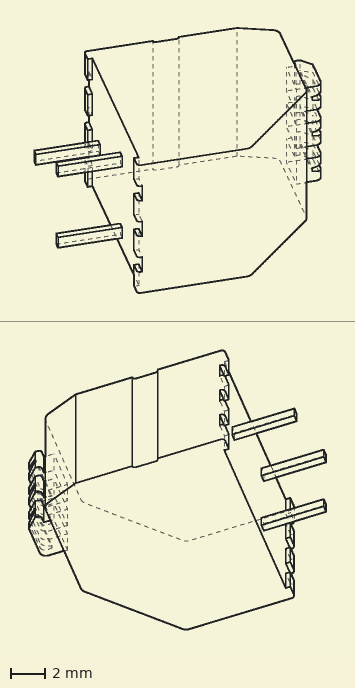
import cadquery as cq
import math


pole_count = 3
pole_pitch = 2.54
foot_thickness = 1.5
housing_height = pole_count * pole_pitch + foot_thickness

total_length = 16.7
underside_y = 3.87
foot_height = 0.28
foot_end_y = underside_y - foot_height
button_projection = 1.59
housing_top_y = total_length - button_projection

housing_width = 12.0
left_slope_run = 0.87
left_slope_drop = 2.29
right_chamfer = 4.73
top_left_radius = 0.5
right_chamfer_radius = 0.5
foot_width = 0.8
foot_radius = 0.2

groove_depth = 0.15
groove_bottom_y = 7.73
groove_top_y = 9.3

button_thickness = 1.67
button_z = 0.85
button_left = 2.02
button_right = 4.83
stem_left = 2.52
hook_bottom_y = 15.71
hook_chamfer = 0.62
hook_radius = 0.18
button_corner_radius = 0.4
notch_mouth = 0.52
notch_floor = 0.22

pin_width = 0.42
pin_thickness = 0.75
pin_z = 0.85
outer_pin_x = 7.08
middle_pin_x = 2.1

ARC_MIDPOINT = math.sqrt(0.5)


def make_housing():
    """Main body, flat on its underside, with the groove in its left wall."""
    groove_arc_offset = groove_depth * ARC_MIDPOINT
    body = (
        cq.Workplane("XY")
        .moveTo(0, underside_y)
        .lineTo(housing_width, underside_y)
        .lineTo(housing_width, housing_top_y - right_chamfer)
        .lineTo(housing_width - right_chamfer, housing_top_y)
        .lineTo(left_slope_run, housing_top_y)
        .lineTo(0, housing_top_y - left_slope_drop)
        .lineTo(0, groove_top_y)
        .threePointArc(
            (groove_arc_offset, groove_top_y - groove_depth + groove_arc_offset),
            (groove_depth, groove_top_y - groove_depth),
        )
        .lineTo(groove_depth, groove_bottom_y + groove_depth)
        .threePointArc(
            (groove_arc_offset, groove_bottom_y + groove_depth - groove_arc_offset),
            (0, groove_bottom_y),
        )
        .close()
        .extrude(housing_height)
    )
    top_left_edge = cq.selectors.NearestToPointSelector(
        (left_slope_run, housing_top_y, housing_height / 2)
    )
    chamfer_top_edge = cq.selectors.NearestToPointSelector(
        (housing_width - right_chamfer, housing_top_y, housing_height / 2)
    )
    chamfer_side_edge = cq.selectors.NearestToPointSelector(
        (housing_width, housing_top_y - right_chamfer, housing_height / 2)
    )
    body = body.edges(top_left_edge).fillet(top_left_radius)
    body = body.edges(chamfer_top_edge).fillet(right_chamfer_radius)
    return body.edges(chamfer_side_edge).fillet(right_chamfer_radius)


def make_foot_pair(z):
    """Standoff feet under both side walls, rounded on their outer corners."""
    left_foot = (
        cq.Workplane("XY")
        .box(foot_width, foot_height, foot_thickness, centered=False)
        .edges("|Z and <X and <Y")
        .fillet(foot_radius)
        .translate((0, foot_end_y, z))
    )
    right_foot = left_foot.mirror("YZ").translate((housing_width, 0, 0))
    return left_foot.union(right_foot)


def make_button(z):
    """Hooked push button with a tapered notch across its top."""
    button = (
        cq.Workplane("XY")
        .moveTo(stem_left, housing_top_y)
        .lineTo(button_right, housing_top_y)
        .lineTo(button_right, total_length)
        .lineTo(button_left + hook_chamfer, total_length)
        .lineTo(button_left, total_length - hook_chamfer)
        .lineTo(button_left, hook_bottom_y)
        .lineTo(stem_left, hook_bottom_y)
        .close()
        .extrude(button_thickness)
        .translate((0, 0, z))
    )
    button = button.edges("|Z and >X and >Y").fillet(button_corner_radius)
    hook_edge = cq.selectors.NearestToPointSelector(
        (button_left, hook_bottom_y, z + button_thickness / 2)
    )
    button = button.edges(hook_edge).fillet(hook_radius)

    center_z = z + button_thickness / 2
    notch_floor_y = total_length - hook_chamfer
    notch = (
        cq.Workplane("YZ", origin=(button_left, 0, 0))
        .moveTo(total_length, center_z - notch_mouth / 2)
        .lineTo(notch_floor_y, center_z - notch_floor / 2)
        .lineTo(notch_floor_y, center_z + notch_floor / 2)
        .lineTo(total_length, center_z + notch_mouth / 2)
        .close()
        .extrude(button_right - button_left)
    )
    return button.cut(notch)


def make_pin(left_x, z):
    """Rectangular solder pin reaching down from the housing underside."""
    return (
        cq.Workplane("XY")
        .box(pin_width, underside_y, pin_thickness, centered=False)
        .translate((left_x, 0, z))
    )


result = make_housing()

for level in range(pole_count + 1):
    result = result.union(make_foot_pair(level * pole_pitch))

for pole in range(pole_count):
    pole_z = pole * pole_pitch
    pin_x = outer_pin_x if pole % 2 == 0 else middle_pin_x
    result = result.union(make_button(button_z + pole_z))
    result = result.union(make_pin(pin_x, pin_z + pole_z))